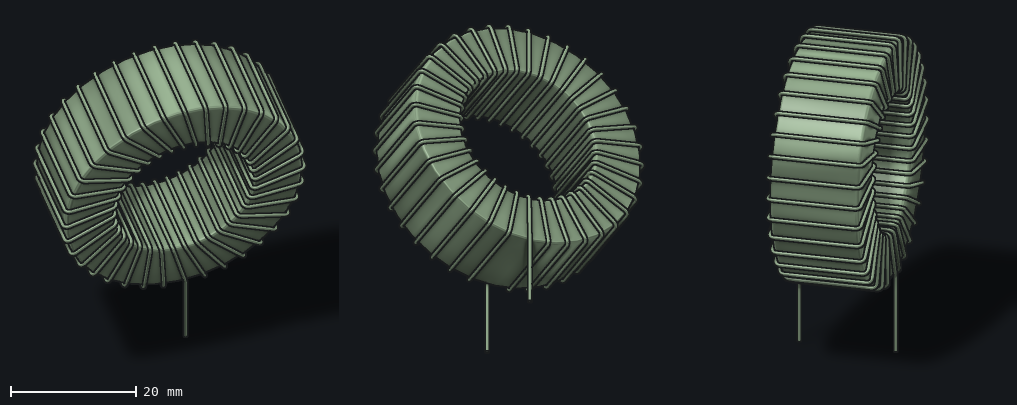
import cadquery as cq
import math

CORE_OUTER_RADIUS = 40.1 / 2
CORE_BORE_RADIUS = 23.9 / 2
CORE_WIDTH = 14.75
CORE_EDGE_FILLET = 0.5

WIRE_DIAMETER = 0.7
TURNS = 36
LEAD_SPAN = 16.7
LEAD_END_Z = -32.45

WIRE_RADIUS = WIRE_DIAMETER / 2
OUTER_RUN_RADIUS = CORE_OUTER_RADIUS + WIRE_RADIUS
BORE_RUN_RADIUS = CORE_BORE_RADIUS - WIRE_RADIUS
BEND_RADIUS = CORE_EDGE_FILLET + WIRE_RADIUS
FACE_X = CORE_WIDTH / 2 + WIRE_RADIUS
LEAD_X = LEAD_SPAN / 2 - WIRE_RADIUS
LEAD_BEND_RADIUS = CORE_OUTER_RADIUS - CORE_EDGE_FILLET
TURN_ANGLE = 2 * math.pi / TURNS


def make_core():
    ring = cq.Workplane("YZ", origin=(-CORE_WIDTH / 2, 0, 0))
    ring = ring.circle(CORE_OUTER_RADIUS).circle(CORE_BORE_RADIUS).extrude(CORE_WIDTH)
    return ring.edges("%CIRCLE").fillet(CORE_EDGE_FILLET)


def winding_point(x, radius, turn):
    """Point on the given turn; turn 0 is at the bottom and the turns advance toward +Y."""
    angle = turn * TURN_ANGLE
    return cq.Vector(x, radius * math.sin(angle), -radius * math.cos(angle))


def winding_corners():
    """Sharp corners of the wire centreline, from the end of the -X lead to the end of the +X lead."""
    corners = [cq.Vector(-LEAD_X, 0, LEAD_END_Z), winding_point(-LEAD_X, LEAD_BEND_RADIUS, 0)]
    for turn in range(TURNS):
        corners.append(winding_point(-FACE_X, BORE_RUN_RADIUS, turn))
        corners.append(winding_point(FACE_X, BORE_RUN_RADIUS, turn))
        if turn < TURNS - 1:
            corners.append(winding_point(FACE_X, OUTER_RUN_RADIUS, turn + 1))
            corners.append(winding_point(-FACE_X, OUTER_RUN_RADIUS, turn + 1))
    corners += [winding_point(LEAD_X, LEAD_BEND_RADIUS, TURNS), cq.Vector(LEAD_X, 0, LEAD_END_Z)]
    return corners


def rounded_path(corners, radius):
    """Straight runs joined by a tangent arc of the given radius at every corner between the two ends."""
    edges = []
    run_start = corners[0]
    for before, corner, after in zip(corners, corners[1:], corners[2:]):
        back = (before - corner).normalized()
        ahead = (after - corner).normalized()
        half_angle = back.getAngle(ahead) / 2
        setback = radius / math.tan(half_angle)
        arc_start = corner + back * setback
        arc_end = corner + ahead * setback
        bisector = (back + ahead).normalized()
        arc_middle = corner + bisector * (radius / math.sin(half_angle) - radius)
        edges.append(cq.Edge.makeLine(run_start, arc_start))
        edges.append(cq.Edge.makeThreePointArc(arc_start, arc_middle, arc_end))
        run_start = arc_end
    edges.append(cq.Edge.makeLine(run_start, corners[-1]))
    return cq.Wire.assembleEdges(edges)


def make_winding():
    path = rounded_path(winding_corners(), BEND_RADIUS)
    section = cq.Workplane("XY", origin=(-LEAD_X, 0, LEAD_END_Z)).circle(WIRE_RADIUS)
    return section.sweep(cq.Workplane(obj=path))


core = make_core()
winding = make_winding()
result = cq.Compound.makeCompound([core.val(), winding.val()])